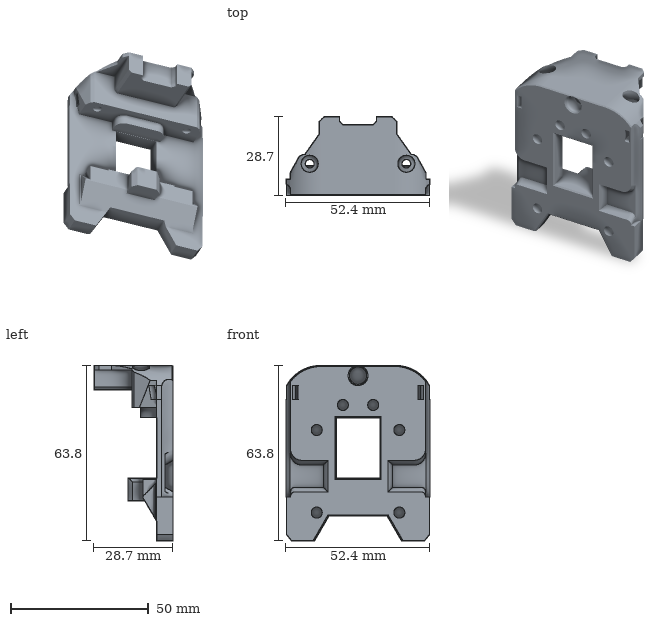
import cadquery as cq
import math


height = 63.77
depth = 28.72
overall_width = 52.41
plate_half = 26.0
plate_thickness = 6.0
opening_chamfer = 0.5

flat_half = 13.5
crown_radius = 14.3
body_half = 24.7
crown_end_z = height - crown_radius + math.sqrt(crown_radius**2 - (body_half - flat_half)**2)
shoulder_z = 56.4
crown_chamfer = 0.4

foot_chamfer_x = 1.9
foot_chamfer_z = 2.3
recess_half_bottom = 15.8
recess_half_top = 10.6
recess_height = 9.0

groove_x = 24.5
groove_depth = 4.3
groove_fillet = 2.4
groove_floor_z = 16.0
rail_top_z = 51.4

window_half = 7.9
window_bottom = 22.8
window_top = 44.7

pocket_depth = 2.85
pocket_wall_inset = 1.7
pocket_inner_x = 10.9
pocket_bottom = 17.8
pocket_top = 29.3
pocket_upper_round = 4.0
pocket_lower_round = 1.6

insert_dia = 4.0
insert_depth = 4.7
mount_spacing = 30.0
mount_center_z = 25.3
upper_insert_x = 5.5
upper_insert_z = 49.4
magnet_dia = 6.3
magnet_depth = 6.0
magnet_z = 60.05
magnet_chamfer = 0.45

body_floor = 48.4
body_back = 15.0
body_floor_half = 22.5
flank_start_y = 8.3
flank_end_x = 21.4
flank_end_y = 14.25
back_half = 20.1

layer_floor = 62.1
tongue_half = 14.1
tongue_root_y = 22.4
layer_root_half = 19.35
tongue_corner = 1.8
tongue_block_half = tongue_half - tongue_corner
tongue_block_floor = 54.9
tongue_block_chamfer = 1.05
notch_half = 6.7
notch_depth = 2.9
notch_chamfer = 1.2

screw_x = 17.55
screw_y = 11.6
screw_dia = 3.1
screw_head_dia = 6.2
screw_head_floor = 59.7

tie_center_x = 27.65
tie_center_y = 3.1
tie_inner_radius = 5.0
tie_outer_radius = 6.6
tie_floor = rail_top_z
tie_top = shoulder_z

pad_half = 9.5
pad_back = 11.9
pad_floor = 44.8
pad_round = 3.65

shelf_half = 20.0
shelf_back = 10.95
shelf_top = 22.3
shelf_lip_z = 15.7
shelf_foot_z = 7.2
sill_half = 13.0
gusset_half = 22.0
gusset_top_z = 21.2
gusset_tip_z = 16.2
gusset_foot_width = 0.5
gusset_foot_y = 6.35
prong_half = 5.5
prong_back = 16.45
prong_floor = 14.55
prong_top = window_bottom
prong_top_chamfer = 1.4
prong_corner = 1.75


def box(x0, x1, y0, y1, z0, z1):
    return cq.Workplane("XY").box(x1 - x0, y1 - y0, z1 - z0, centered=False).translate((x0, y0, z0))


def front_prism(sketch, y0, y1):
    """Extrude a closed X-Z outline from y0 to y1 (the XZ plane faces -Y)."""
    return sketch.extrude(y0 - y1).translate((0, y0, 0))


def plan_prism(right_half, z0, z1):
    """Extrude a plan outline given by its right half, mirrored to the left."""
    left_half = [(-x, y) for x, y in reversed(right_half)]
    return cq.Workplane("XY").polyline(right_half + left_half).close().extrude(z1 - z0).translate((0, 0, z0))


def side_prism(points, half_width):
    """Extrude a closed Y-Z outline over the width from -half_width to half_width."""
    return cq.Workplane("YZ").polyline(points).close().extrude(half_width, both=True)


def both_sides(solid):
    return solid.union(solid.mirror("YZ"))


def crowned_outline(right_points):
    """X-Z outline with the crowned top; right_points run upward along the right side."""
    turn = (math.pi / 2 + math.asin((crown_end_z - height + crown_radius) / crown_radius)) / 2
    mid_x = flat_half + crown_radius * math.cos(turn)
    mid_z = height - crown_radius + crown_radius * math.sin(turn)
    sketch = cq.Workplane("XZ").moveTo(*right_points[0])
    for point in right_points[1:]:
        sketch = sketch.lineTo(*point)
    sketch = sketch.lineTo(body_half, crown_end_z)
    sketch = sketch.threePointArc((mid_x, mid_z), (flat_half, height))
    sketch = sketch.lineTo(-flat_half, height)
    sketch = sketch.threePointArc((-mid_x, mid_z), (-body_half, crown_end_z))
    for x, z in reversed(right_points):
        sketch = sketch.lineTo(-x, z)
    return sketch.close()


def make_plate():
    right_side = [
        (plate_half - foot_chamfer_x, 0),
        (plate_half, foot_chamfer_z),
        (plate_half, shoulder_z),
    ]
    plate = front_prism(crowned_outline(right_side), 0, plate_thickness)
    tolerance = 0.1
    crown_edges = [
        edge
        for edge in plate.faces("<Y").edges().vals()
        if edge.BoundingBox().zmin > crown_end_z - tolerance
    ]
    plate = plate.newObject(crown_edges).chamfer(crown_chamfer)
    rail_front = groove_depth - groove_fillet
    rail_half = overall_width / 2
    rails = box(-rail_half, rail_half, rail_front, plate_thickness, groove_floor_z, rail_top_z)
    return plate.union(rails)


def make_upper_body():
    lower_plan = [
        (body_half, crown_chamfer),
        (body_half, flank_start_y),
        (flank_end_x, flank_end_y),
        (back_half, body_back),
    ]
    layer_plan = lower_plan[:3] + [
        (layer_root_half, body_back),
        (tongue_half, tongue_root_y),
        (tongue_half, depth - tongue_corner),
        (tongue_block_half, depth),
    ]
    body = plan_prism(lower_plan, body_floor, height)
    body = body.union(plan_prism(layer_plan, layer_floor, height))
    block = box(-tongue_block_half, tongue_block_half, 0, depth - body_back, tongue_block_floor, height)
    block = block.edges("|Y and <Z").chamfer(tongue_block_chamfer).translate((0, body_back, 0))
    body = body.union(block)
    envelope = front_prism(crowned_outline([(body_floor_half, body_floor)]), 0, depth)
    notch_side = depth - notch_depth + notch_chamfer
    notch_plan = [
        (notch_half - notch_chamfer, depth - notch_depth),
        (notch_half, notch_side),
        (notch_half, depth),
    ]
    return body.intersect(envelope).cut(plan_prism(notch_plan, body_floor, height))


def make_pad():
    pad = box(-pad_half, pad_half, plate_thickness / 2, pad_back, pad_floor, body_floor)
    return pad.edges("|Z and >Y").fillet(pad_round)


def make_shelf():
    shelf_profile = [
        (plate_thickness, shelf_foot_z),
        (shelf_back, shelf_lip_z),
        (shelf_back, shelf_top),
        (plate_thickness, shelf_top),
    ]
    gusset_profile = shelf_profile[:2] + [(shelf_back, gusset_tip_z), (plate_thickness, gusset_top_z)]
    gusset = side_prism(gusset_profile, gusset_half + gusset_foot_width)
    gusset_plan = [
        (gusset_half + gusset_foot_width, plate_thickness),
        (gusset_half + gusset_foot_width, gusset_foot_y),
        (gusset_half, gusset_foot_y + gusset_foot_width),
        (gusset_half, shelf_back),
    ]
    gusset = gusset.intersect(plan_prism(gusset_plan, shelf_foot_z, shelf_top))
    sill = box(-sill_half, sill_half, plate_thickness, shelf_back, shelf_lip_z, window_bottom)
    prong = box(-prong_half, prong_half, plate_thickness, prong_back, prong_floor, prong_top)
    prong = prong.edges("|Z and >Y").chamfer(prong_corner)
    roof = [
        (prong_half, prong_floor),
        (prong_half, prong_top - prong_top_chamfer),
        (prong_half - prong_top_chamfer, prong_top),
    ]
    roof_outline = roof + [(-x, z) for x, z in reversed(roof)]
    prong = prong.intersect(front_prism(cq.Workplane("XZ").polyline(roof_outline).close(), 0, depth))
    shelf = side_prism(shelf_profile, shelf_half)
    return shelf.union(gusset).union(sill).union(prong)


def front_opening(points):
    """Cutter through the whole depth with a chamfered mouth at the front face."""
    bore = front_prism(cq.Workplane("XZ").polyline(points).close(), -opening_chamfer, depth)
    mouth = cq.Workplane("XZ").polyline(points).close().offset2D(opening_chamfer, "intersection")
    mouth = mouth.extrude(-opening_chamfer, taper=45)
    return bore.union(mouth)


def make_recess():
    slope = (recess_half_bottom - recess_half_top) / recess_height
    below = -2 * opening_chamfer
    half_below = recess_half_bottom - slope * below
    return front_opening([
        (-half_below, below),
        (-recess_half_top, recess_height),
        (recess_half_top, recess_height),
        (half_below, below),
    ])


def make_window():
    return front_opening([
        (-window_half, window_bottom),
        (-window_half, window_top),
        (window_half, window_top),
        (window_half, window_bottom),
    ])


def make_side_groove():
    outside = plate_half + groove_fillet
    groove = box(groove_x, outside, 0, groove_depth, groove_floor_z, shoulder_z + groove_fillet)
    fillet_center = (groove_x + groove_fillet, groove_depth - groove_fillet)
    corner = box(groove_x, fillet_center[0], fillet_center[1], groove_depth, groove_floor_z, height)
    round_bar = cq.Workplane("XY").center(*fillet_center).circle(groove_fillet).extrude(height)
    return groove.cut(corner.cut(round_bar))


def pocket_wire(y, inset):
    """Outline of a side pocket at depth y, its upper, lower and inner walls moved in by inset."""
    inner_x = pocket_inner_x + inset
    bottom = pocket_bottom + inset
    top = pocket_top - inset
    outside = plate_half + groove_fillet
    sketch = (
        cq.Workplane("XZ", origin=(0, y, 0))
        .moveTo(inner_x, bottom)
        .lineTo(groove_x - pocket_lower_round, bottom)
        .radiusArc((groove_x, bottom - pocket_lower_round), pocket_lower_round)
        .lineTo(outside, bottom - pocket_lower_round)
        .lineTo(outside, top + pocket_upper_round)
        .lineTo(groove_x, top + pocket_upper_round)
        .radiusArc((groove_x - pocket_upper_round, top), pocket_upper_round)
        .lineTo(inner_x, top)
        .close()
    )
    return sketch.val()


def make_side_pocket():
    mouth = pocket_wire(0, 0)
    floor = pocket_wire(pocket_depth, pocket_wall_inset)
    return cq.Workplane(cq.Solid.makeLoft([mouth, floor], True))


def make_tie_channel():
    ring = cq.Workplane("XY").center(tie_center_x, tie_center_y)
    ring = ring.circle(tie_outer_radius).circle(tie_inner_radius).extrude(tie_top - tie_floor)
    return ring.translate((0, 0, tie_floor))


def make_screw_hole():
    axis = cq.Workplane("XY").center(screw_x, screw_y)
    shank = axis.circle(screw_dia / 2).extrude(height - body_floor).translate((0, 0, body_floor))
    head = axis.circle(screw_head_dia / 2).extrude(height - screw_head_floor)
    return shank.union(head.translate((0, 0, screw_head_floor)))


def make_insert_holes():
    half = mount_spacing / 2
    places = [(x, mount_center_z + z) for x in (-half, half) for z in (-half, half)]
    places += [(-upper_insert_x, upper_insert_z), (upper_insert_x, upper_insert_z)]
    return cq.Workplane("XZ").pushPoints(places).circle(insert_dia / 2).extrude(-insert_depth)


def make_magnet_hole():
    axis = cq.Workplane("XZ").center(0, magnet_z)
    bore = axis.circle(magnet_dia / 2).extrude(-magnet_depth)
    mouth = axis.circle(magnet_dia / 2 + magnet_chamfer).extrude(-magnet_chamfer, taper=45)
    return bore.union(mouth)


result = make_plate().union(make_upper_body()).union(make_pad()).union(make_shelf())
result = result.cut(make_recess()).cut(make_window())
for side_cutter in (make_side_groove, make_side_pocket, make_tie_channel, make_screw_hole):
    result = result.cut(both_sides(side_cutter()))
result = result.cut(make_insert_holes()).cut(make_magnet_hole())